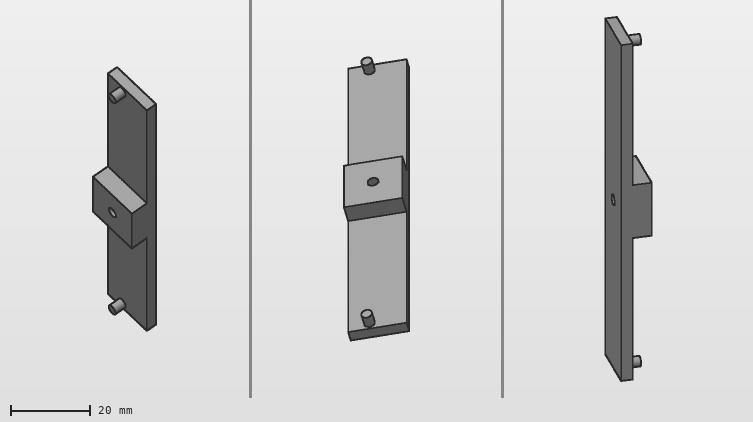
import cadquery as cq

length = 95.0
width = 15.0
depth = 8.0
plate_thickness = 3.0

block_side = width
hole_diameter = 2.8

pin_diameter = 2.8
pin_length = 3.3
pin_offset_x = -2.0
pin_end_distance = 2.0

plate_front_y = depth - plate_thickness


def make_plate():
    plate = cq.Workplane("XY").box(width, plate_thickness, length, centered=(True, False, True))
    return plate.translate((0, plate_front_y, 0))


def make_block():
    return cq.Workplane("XY").box(block_side, depth, block_side, centered=(True, False, True))


def make_pins():
    pin_z = length / 2 - pin_end_distance
    return (
        cq.Workplane("XZ", origin=(0, plate_front_y, 0))
        .pushPoints([(pin_offset_x, pin_z), (pin_offset_x, -pin_z)])
        .circle(pin_diameter / 2)
        .extrude(pin_length)
    )


def make_hole():
    return cq.Workplane("XZ", origin=(0, depth, 0)).circle(hole_diameter / 2).extrude(depth)


result = make_plate().union(make_block()).union(make_pins()).cut(make_hole())